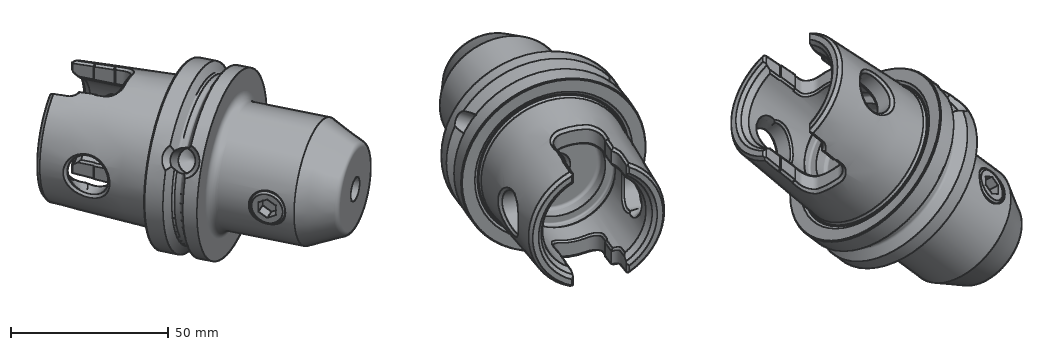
import cadquery as cq
import math

total_length = 99.95
flange_radius = 31.5
flange_start = 39.8
flange_end = 58
flange_edge_length = 0.4
flange_edge_depth = 0.3

taper_slope = 0.05
taper_end = 38.6
taper_end_radius = 25
tail_chamfer_length = 1.3
tail_face_outer_radius = 22.2
tail_radius = taper_end_radius - taper_slope * (taper_end - tail_chamfer_length)

collar_end = 39.1
relief_floor = 40.2
relief_inner_radius = 25.4
relief_outer_radius = 25.9
relief_mouth_radius = 26.9

groove_start = 46.4
groove_end = 53.2
groove_floor_radius = 27.9
groove_wall_angle = 60
groove_corner_radius = 0.9
groove_wall_length = (flange_radius - groove_floor_radius) / math.tan(math.radians(groove_wall_angle))

shank_radius = 21
shank_fillet = 3
nose_start = 87.1
nose_radius = 15.1
nose_fillet = 2

mouth_radius = 20.2
lead_in_radius = 18.9
lead_in_start = 1.1
bore_radius = 17.6
bore_start = 3.3
clamp_groove_start = 30.8
clamp_groove_radius = 18.2
clamp_groove_fillet = 0.6
shelf_x = 34
recess_radius = 15.4
recess_floor_x = 38.7
recess_fillet = 1.1
coolant_radius = 4
coolant_mouth_radius = 5.2

slot_floor = 21.7
slot_half_width = 8
slot_entry_half_width = 8.2
slot_entry_end = 7.6
slot_relief_half_width = 8.3
slot_relief_start = 15.2
slot_step_length = 0.4
slot_corner_radius = 4.2
key_half_width = 10
key_corner_start = 6.1
key_corner_radius = 3
slot_mouth_chamfer = 0.7

cross_hole_x = 17.5
cross_hole_radius = 7.1
slant_radius = 7
slant_inner_x = 12.5
slant_inner_y = 15.5
slant_outer_y = 22

outer_bevel = 1
inner_bevel = 0.6

drill_x = 50.9
drill_elevation = 30
drill_floor_radius = 21
drill_tip_angle = 118
plain_drill_radius = 3.7
sunk_drill_radius = 4.2
countersink_radius = 6.3

screw_x = 77.9
screw_radius = 6
screw_top = 20.9
screw_chamfer = 0.7
screw_hole_bevel = 0.3
hex_across_flats = 6
hex_depth = 4

clearance = 1


def outer_body():
    left_foot = groove_start + groove_wall_length
    right_foot = groove_end - groove_wall_length
    nose_angle = math.atan2(shank_radius - nose_radius, total_length - nose_start)
    nose_tangent = nose_fillet * math.tan((math.pi / 2 - nose_angle) / 2)
    nose_cone_end = (
        total_length - nose_tangent * math.cos(nose_angle),
        nose_radius + nose_tangent * math.sin(nose_angle),
    )
    nose_center = (total_length - nose_fillet, nose_radius - nose_tangent)
    nose_mid_angle = (math.pi / 2 - nose_angle) / 2
    nose_mid = (
        nose_center[0] + nose_fillet * math.cos(nose_mid_angle),
        nose_center[1] + nose_fillet * math.sin(nose_mid_angle),
    )

    corner_tangent = groove_corner_radius * math.tan(math.radians(groove_wall_angle / 2))
    corner_rise = corner_tangent * math.sin(math.radians(groove_wall_angle))
    corner_run = corner_tangent * math.cos(math.radians(groove_wall_angle))
    corner_mid_run = groove_corner_radius * math.sin(math.radians(groove_wall_angle / 2))
    corner_mid_rise = groove_corner_radius * (1 - math.cos(math.radians(groove_wall_angle / 2)))
    left_tangent = left_foot + corner_tangent
    right_tangent = right_foot - corner_tangent

    fillet_mid = shank_fillet * (1 - math.sqrt(0.5))
    profile = (
        cq.Workplane("XY")
        .moveTo(0, 0)
        .lineTo(0, tail_face_outer_radius)
        .lineTo(tail_chamfer_length, tail_radius)
        .lineTo(taper_end, taper_end_radius)
        .lineTo(collar_end, taper_end_radius)
        .lineTo(relief_floor, relief_inner_radius)
        .lineTo(relief_floor, relief_outer_radius)
        .lineTo(flange_start, relief_mouth_radius)
        .lineTo(flange_start, flange_radius - flange_edge_depth)
        .lineTo(flange_start + flange_edge_length, flange_radius)
        .lineTo(groove_start, flange_radius)
        .lineTo(left_foot - corner_run, groove_floor_radius + corner_rise)
        .threePointArc(
            (left_tangent - corner_mid_run, groove_floor_radius + corner_mid_rise),
            (left_tangent, groove_floor_radius),
        )
        .lineTo(right_tangent, groove_floor_radius)
        .threePointArc(
            (right_tangent + corner_mid_run, groove_floor_radius + corner_mid_rise),
            (right_foot + corner_run, groove_floor_radius + corner_rise),
        )
        .lineTo(groove_end, flange_radius)
        .lineTo(flange_end, flange_radius)
        .lineTo(flange_end, shank_radius + shank_fillet)
        .threePointArc(
            (flange_end + fillet_mid, shank_radius + fillet_mid),
            (flange_end + shank_fillet, shank_radius),
        )
        .lineTo(nose_start, shank_radius)
        .lineTo(*nose_cone_end)
        .threePointArc(nose_mid, (total_length, nose_center[1]))
        .lineTo(total_length, 0)
        .close()
    )
    return profile.revolve(360, (0, 0, 0), (1, 0, 0))


def axial_bores():
    """Stepped bore from the tail, rounded at its floor, with a coolant hole on to the nose."""
    clamp_groove_depth = clamp_groove_radius - bore_radius
    coolant_chamfer = coolant_mouth_radius - coolant_radius
    profile = (
        cq.Workplane("XY")
        .moveTo(0, 0)
        .lineTo(0, mouth_radius)
        .lineTo(lead_in_start, lead_in_radius)
        .lineTo(bore_start, bore_radius)
        .lineTo(clamp_groove_start, bore_radius)
        .lineTo(clamp_groove_start + clamp_groove_depth, clamp_groove_radius)
        .lineTo(shelf_x - clamp_groove_fillet, clamp_groove_radius)
        .radiusArc((shelf_x, clamp_groove_radius - clamp_groove_fillet), clamp_groove_fillet)
        .lineTo(shelf_x, recess_radius)
        .lineTo(recess_floor_x - recess_fillet, recess_radius)
        .radiusArc((recess_floor_x, recess_radius - recess_fillet), recess_fillet)
        .lineTo(recess_floor_x, coolant_mouth_radius)
        .lineTo(recess_floor_x + coolant_chamfer, coolant_radius)
        .lineTo(total_length, coolant_radius)
        .lineTo(total_length, 0)
        .close()
    )
    return profile.revolve(360, (0, 0, 0), (1, 0, 0))


def drive_slot():
    """Slot through the tail along Z; the -Y side is widened at the mouth for a key."""
    key_corner_y = -key_half_width + key_corner_radius
    key_rise = key_corner_y + slot_half_width
    key_corner_end = key_corner_start + math.sqrt(key_corner_radius**2 - key_rise**2)
    relief_end = slot_floor - slot_corner_radius
    mouth_flare = slot_mouth_chamfer + clearance
    floor_half_width = slot_relief_half_width - slot_corner_radius
    return (
        cq.Workplane("XY")
        .workplane(offset=-flange_radius)
        .moveTo(-clearance, slot_entry_half_width + mouth_flare)
        .lineTo(slot_mouth_chamfer, slot_entry_half_width)
        .lineTo(slot_entry_end, slot_entry_half_width)
        .lineTo(slot_entry_end + slot_step_length, slot_half_width)
        .lineTo(slot_relief_start - slot_step_length, slot_half_width)
        .lineTo(slot_relief_start, slot_relief_half_width)
        .lineTo(relief_end, slot_relief_half_width)
        .radiusArc((slot_floor, floor_half_width), slot_corner_radius)
        .lineTo(slot_floor, -floor_half_width)
        .radiusArc((relief_end, -slot_relief_half_width), slot_corner_radius)
        .lineTo(slot_relief_start, -slot_relief_half_width)
        .lineTo(slot_relief_start - slot_step_length, -slot_half_width)
        .lineTo(key_corner_end, -slot_half_width)
        .radiusArc((key_corner_start, -key_half_width), key_corner_radius)
        .lineTo(slot_mouth_chamfer, -key_half_width)
        .lineTo(-clearance, -key_half_width - mouth_flare)
        .close()
        .extrude(2 * flange_radius)
    )


def cross_holes():
    """Straight hole along Y through both sides of the taper."""
    return (
        cq.Workplane("XZ")
        .center(cross_hole_x, 0)
        .circle(cross_hole_radius)
        .extrude(flange_radius, both=True)
    )


def cross_hole_relief():
    """Slanted relief on the +Y side that leans from the cross hole towards the tail inside the bore."""
    return (
        cq.Workplane("XZ", origin=(cross_hole_x, slant_outer_y, 0))
        .circle(slant_radius)
        .workplane(offset=slant_outer_y - slant_inner_y)
        .center(slant_inner_x - cross_hole_x, 0)
        .circle(slant_radius)
        .loft(ruled=True)
    )


def edges_on_turned_face(body, start_x, end_x, start_radius, end_radius):
    """Edges that openings leave on the turned face between two (x, radius) places."""
    tolerance = 0.05
    slope = (end_radius - start_radius) / (end_x - start_x)
    found = []
    for edge in body.edges().vals():
        middle = edge.positionAt(0.5)
        face_radius = start_radius + slope * (middle.x - start_x)
        on_face = abs(math.hypot(middle.y, middle.z) - face_radius) < tolerance
        between_ends = start_x + tolerance < middle.x < end_x - tolerance
        is_seam = edge.geomType() == "LINE" and abs(middle.z) < tolerance
        if on_face and between_ends and not is_seam:
            found.append(edge)
    return body.newObject(found)


def bevel_openings(body):
    """Bevel the slot and cross holes where they break out of the taper and into the bore."""
    outer_rims = edges_on_turned_face(body, tail_chamfer_length, taper_end, tail_radius, taper_end_radius)
    body = outer_rims.chamfer(outer_bevel)
    inner_rims = edges_on_turned_face(body, bore_start, clamp_groove_start, bore_radius, bore_radius)
    return inner_rims.chamfer(inner_bevel)


def radial_drill(radius, mouth_radius, elevation):
    """Pointed radial hole into the gripper groove; mouth_radius is its size at the flange surface."""
    tip = drill_floor_radius - radius / math.tan(math.radians(drill_tip_angle / 2))
    top = flange_radius + clearance
    profile = [(0, tip), (radius, drill_floor_radius)]
    if mouth_radius > radius:
        profile.append((radius, flange_radius - (mouth_radius - radius)))
        profile.append((mouth_radius + clearance, top))
    else:
        profile.append((radius, top))
    profile.append((0, top))
    drill = cq.Workplane("XY").polyline(profile).close().revolve(360, (0, 0, 0), (0, 1, 0))
    return drill.rotate((0, 0, 0), (1, 0, 0), elevation).translate((drill_x, 0, 0))


def cut_screw_hole(body):
    """Radial hole from the -Y side of the shank down to the X axis, with a beveled rim."""
    hole = cq.Workplane("XZ").center(screw_x, 0).circle(screw_radius).extrude(shank_radius + clearance)
    drilled = body.cut(hole)
    rim = edges_on_turned_face(drilled, flange_end + shank_fillet, nose_start, shank_radius, shank_radius)
    return rim.chamfer(screw_hole_bevel)


def make_holder():
    body = outer_body().cut(axial_bores())
    body = body.cut(drive_slot()).cut(cross_holes())
    body = bevel_openings(body)
    relief = cross_hole_relief()
    body = body.cut(relief).cut(relief.mirror("XZ"))
    body = body.cut(radial_drill(plain_drill_radius, plain_drill_radius, drill_elevation))
    body = body.cut(radial_drill(sunk_drill_radius, countersink_radius, 180 - drill_elevation))
    return cut_screw_hole(body)


def make_screw():
    """Set screw along Y with a hexagon socket in its outer end; its tip stops level with the bore."""
    length = screw_top - coolant_radius
    hex_corners = hex_across_flats / math.cos(math.pi / 6)
    screw = (
        cq.Workplane("XZ", origin=(screw_x, -coolant_radius, 0))
        .circle(screw_radius)
        .extrude(length)
        .faces("<Y").edges().chamfer(screw_chamfer)
    )
    socket = (
        cq.Workplane("XZ", origin=(screw_x, hex_depth - screw_top, 0))
        .transformed(rotate=(0, 0, 90))
        .polygon(6, hex_corners)
        .extrude(hex_depth)
    )
    return screw.cut(socket)


holder = make_holder()
screw = make_screw()
result = cq.Compound.makeCompound([holder.val(), screw.val()])